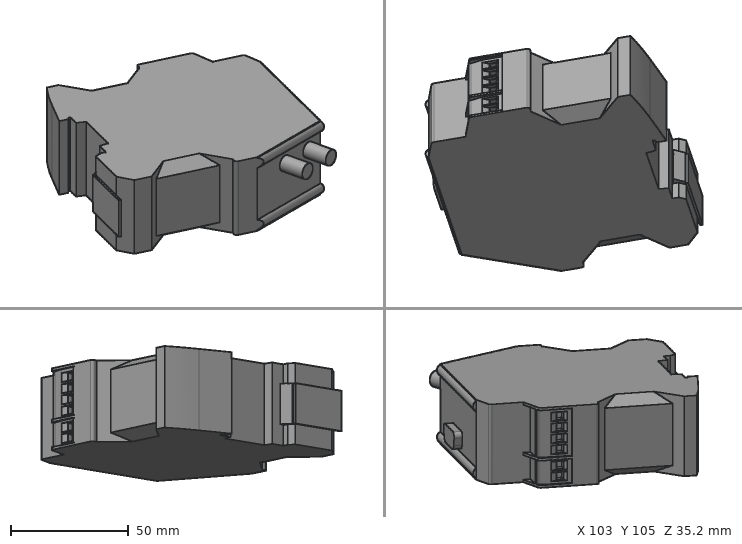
import cadquery as cq
import math


thickness = 35.2
body_width = 99.0
overall_length = 105.0
body_top = 101.3
shoulder_slope = math.tan(math.radians(21.5))
corner_radius = 1.4

step_wall_x = 10.9
upper_corner_y = 97.9
lower_corner_y = 78.8
top_start_x = step_wall_x + (body_top - upper_corner_y) / shoulder_slope
lower_shoulder_y = lower_corner_y + step_wall_x * shoulder_slope

top_end_x = 79.7
slant_ratio = 2.0
slant_foot_y = body_top - slant_ratio * (body_width - top_end_x)
slant_angle = math.degrees(math.atan(slant_ratio))

lip_y = 52.6
lip_corner_y = 52.3
lip_width = 2.7
waist_inset = 13.5
waist_top_y = 42.0
waist_bottom_y = 25.2
foot_inset = 2.8
foot_top_y = 14.7
left_x = foot_inset
right_x = body_width - foot_inset

rail_seat_y = 6.6
recess_roof_y = 10.9
recess_middle_x = 49.6
recess_roof_half = 11.0
recess_mouth_half = 11.8

foot_tip = (33.3, 0.8)
foot_bend = (17.8, 4.5)
foot_heel_y = 9.2
rail_notch_x = 32.0
rail_notch_y = 5.8
notch_bottom_y = 5.0

right_foot_x = 67.6
right_foot_y = 1.0
right_foot_bevel = (1.8, 2.8)
right_heel_x = 90.1


def polygon(points, height, z=0.0):
    """Straight-sided outline in XY, raised along Z from the given level."""
    return cq.Workplane("XY").workplane(offset=z).polyline(points).close().extrude(height)


def make_body():
    outline = (
        cq.Workplane("XY")
        .moveTo(0, lower_corner_y)
        .lineTo(step_wall_x, lower_shoulder_y)
        .lineTo(step_wall_x, upper_corner_y)
        .lineTo(top_start_x, body_top)
        .lineTo(top_end_x, body_top)
        .lineTo(body_width, slant_foot_y)
        .lineTo(body_width, lip_corner_y)
        .lineTo(body_width - lip_width, lip_y)
        .lineTo(body_width - waist_inset, waist_top_y)
        .lineTo(body_width - waist_inset, waist_bottom_y)
        .lineTo(right_x, foot_top_y)
        .lineTo(right_x, rail_seat_y)
        .lineTo(right_heel_x, right_foot_y)
        .lineTo(right_foot_x + right_foot_bevel[0], right_foot_y)
        .lineTo(right_foot_x, right_foot_y + right_foot_bevel[1])
        .lineTo(right_foot_x, rail_seat_y)
        .lineTo(recess_middle_x + recess_mouth_half, rail_seat_y)
        .lineTo(recess_middle_x + recess_roof_half, recess_roof_y)
        .lineTo(recess_middle_x - recess_roof_half, recess_roof_y)
        .lineTo(recess_middle_x - recess_mouth_half, rail_seat_y)
        .lineTo(rail_notch_x, rail_seat_y)
        .lineTo(rail_notch_x, rail_notch_y)
        .lineTo(foot_tip[0], notch_bottom_y)
        .lineTo(*foot_tip)
        .lineTo(*foot_bend)
        .tangentArcPoint((left_x, foot_heel_y), relative=False)
        .lineTo(left_x, foot_top_y)
        .lineTo(waist_inset, waist_bottom_y)
        .lineTo(waist_inset, waist_top_y)
        .lineTo(lip_width, lip_y)
        .lineTo(0, lip_corner_y)
        .close()
    )
    body = outline.extrude(thickness)
    rounded_corners = [
        (0, lower_corner_y),
        (0, lip_corner_y),
        (body_width, lip_corner_y),
        (step_wall_x, upper_corner_y),
    ]
    for x, y in rounded_corners:
        corner = cq.selectors.NearestToPointSelector((x, y, thickness / 2))
        body = body.edges("|Z").edges(corner).fillet(corner_radius)
    return body


pad_inset = 6.9
pad_bevel = 4.0


def make_pad():
    """Bevelled pad on the left side of the waist, its ends meeting the waist slopes."""
    rise = waist_inset - pad_inset
    bottom_y = foot_top_y + (waist_bottom_y - foot_top_y) * (pad_inset - left_x) / (waist_inset - left_x)
    top_y = waist_top_y + (lip_y - waist_top_y) * rise / (waist_inset - lip_width)
    section = [
        (waist_inset, 0),
        (pad_inset, pad_bevel),
        (pad_inset, thickness - pad_bevel),
        (waist_inset, thickness),
    ]
    pad = cq.Workplane("XZ").polyline(section).close().extrude(bottom_y - top_y)
    return pad.translate((0, bottom_y, 0))


rod_radius = 2.8
rod_depth = 1.5
rod_inset = 2.8
rod_start_x = 19.7


def make_rod(z):
    """Round rod sunk in the top and slanted faces, mitred at their corner, ending at the right wall."""
    axis_y = body_top - rod_depth
    half_turn = math.radians(slant_angle / 2)
    bend_x = top_end_x - rod_depth * math.tan(half_turn)
    drop = axis_y - slant_foot_y + rod_radius
    path = (
        cq.Workplane("XY")
        .workplane(offset=z)
        .moveTo(rod_start_x, axis_y)
        .lineTo(bend_x, axis_y)
        .lineTo(bend_x + drop / slant_ratio, axis_y - drop)
    )
    rod = (
        cq.Workplane("YZ", origin=(rod_start_x, axis_y, z))
        .circle(rod_radius)
        .sweep(path, transition="right")
    )
    inside_wall = cq.Workplane("XY").box(
        body_width, overall_length, 2 * thickness, centered=(False, False, True)
    )
    return rod.intersect(inside_wall)


connector_diameter = 7.2
connector_length = 12.2
connector_z = 24.7
connector_xs = [83.4, 90.5]
connector_root = 2.1


def make_connector(x):
    """Cylinder rooted below the slanted face at the given X."""
    y = body_top - slant_ratio * (x - top_end_x)
    normal = cq.Vector(slant_ratio, 1, 0).normalized()
    base = cq.Vector(x, y, connector_z) - normal * connector_root
    length = connector_length + connector_root
    return cq.Workplane(cq.Solid.makeCylinder(connector_diameter / 2, length, base, normal))


plug_middle_x = 51.5
plug_width = 17.4
plug_bottom_z = 6.8
plug_top_z = 14.8
plug_side_angle = 10.0
plug_wide_radius = 2.0
plug_narrow_radius = 2.8


def make_plug():
    height = plug_top_z - plug_bottom_z
    draft = height * math.tan(math.radians(plug_side_angle))
    wide_half = plug_width / 2 + draft * plug_wide_radius / height
    narrow_half = wide_half - draft
    section = [
        (plug_middle_x - wide_half, plug_top_z),
        (plug_middle_x + wide_half, plug_top_z),
        (plug_middle_x + narrow_half, plug_bottom_z),
        (plug_middle_x - narrow_half, plug_bottom_z),
    ]
    plug = cq.Workplane("XZ").polyline(section).close().extrude(body_top - overall_length)
    plug = plug.edges("|Y and >Z").fillet(plug_wide_radius)
    plug = plug.edges("|Y and <Z").fillet(plug_narrow_radius)
    return plug.translate((0, body_top, 0))


latch_bottom_z = 8.8
latch_width = 17.4
latch_plate_start_x = 68.7
latch_plate_end_x = 94.7
hook_tip = (64.9, 5.6)
hook_top_y = 6.2
hook_heel_x = 67.8
hook_root_x = 70.4


def make_latch():
    plate = [
        (latch_plate_start_x, 0),
        (latch_plate_end_x, 0),
        (latch_plate_end_x, right_foot_y),
        (latch_plate_start_x, right_foot_y),
    ]
    hook = [
        hook_tip,
        (hook_heel_x, right_foot_y),
        (hook_root_x, right_foot_y),
        (hook_root_x, hook_top_y),
        (right_foot_x, hook_top_y),
    ]
    latch = polygon(plate, latch_width, latch_bottom_z)
    return latch.union(polygon(hook, latch_width, latch_bottom_z))


block_face_x = 1.0
block_crest_x = 1.9
block_bottom_y = 64.5
block_bend_y = 73.8
block_crest_y = 78.6
block_top_y = 79.9
fin_thickness = 1.2
cut_clearance = 1.0
block_split_z = 12.5
block_spans = [
    (fin_thickness, block_split_z - fin_thickness / 2),
    (block_split_z + fin_thickness / 2, thickness - fin_thickness),
]

mouth_bottom_y = 66.5
mouth_top_y = 73.3
mouth_height = 3.9
ramp_length = 2.5
ramp_depth = 1.4
mouth_end_draft = 1.0
hole_inset = 0.2
hole_depth = 3.2
lower_openings = (4.2, 4.7, 2)
upper_openings = (16.1, 4.8, 4)


def make_block_recess(bottom_z, top_z):
    """Space removed in front of and above one terminal block."""
    outline = [
        (-cut_clearance, block_bottom_y),
        (block_face_x, block_bottom_y),
        (block_face_x, block_bend_y),
        (block_crest_x, block_crest_y),
        (block_crest_x, block_top_y),
        (step_wall_x, block_top_y),
        (step_wall_x, lower_shoulder_y),
        (-cut_clearance, lower_shoulder_y),
    ]
    return polygon(outline, top_z - bottom_z, bottom_z)


def make_opening(z):
    """Wire opening in the block face, centred at the given height."""
    floor_x = block_face_x + ramp_depth
    floor_top_y = mouth_top_y - ramp_length
    floor_bottom_y = mouth_bottom_y + mouth_end_draft
    mouth = [
        (block_face_x, mouth_bottom_y),
        (floor_x, floor_bottom_y),
        (floor_x, floor_top_y),
        (block_face_x, mouth_top_y),
    ]
    hole = [
        (floor_x, floor_bottom_y),
        (floor_x + hole_depth, floor_bottom_y),
        (floor_x + hole_depth, floor_top_y - hole_inset),
        (floor_x, floor_top_y - hole_inset),
    ]
    hole_height = mouth_height - 2 * hole_inset
    opening = polygon(mouth, mouth_height, z - mouth_height / 2)
    return opening.union(polygon(hole, hole_height, z - hole_height / 2))


result = make_body()

left_pad = make_pad()
right_pad = left_pad.mirror("YZ").translate((body_width, 0, 0))
result = result.union(left_pad).union(right_pad)

for rod_z in (rod_inset, thickness - rod_inset):
    result = result.union(make_rod(rod_z))
for connector_x in connector_xs:
    result = result.union(make_connector(connector_x))
result = result.union(make_plug()).union(make_latch())

for span in block_spans:
    result = result.cut(make_block_recess(*span))
for first_z, pitch, count in (lower_openings, upper_openings):
    for i in range(count):
        result = result.cut(make_opening(first_z + i * pitch))